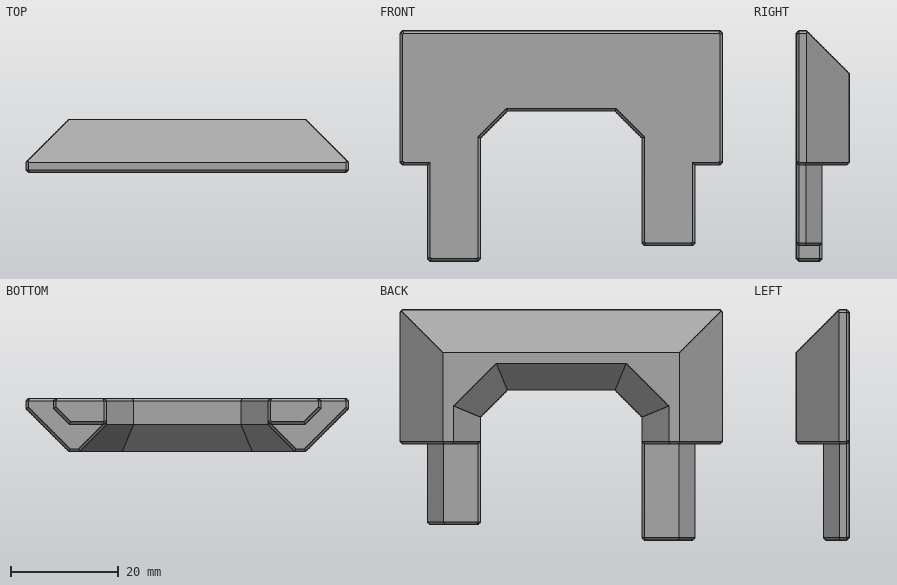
import cadquery as cq

width = 60.0
body_depth = 9.9
body_height = 25.0
leg_depth = 4.85
leg_width = 9.9
leg_inset = 5.1
left_leg_bottom = -42.9
right_leg_bottom = -40.0
notch_top = -15.0
notch_corner = 5.0
body_bevel = 8.0
leg_bevel = 3.0
notch_bevel = 5.0
edge_chamfer = 0.5
SELECTION_MARGIN = 0.01

half_width = width / 2
leg_outer_x = half_width - leg_inset
notch_half_width = leg_outer_x - leg_width
body_bottom = -body_height
notch_shoulder = notch_top - notch_corner


def prism(points, depth):
    """Extrude an XZ outline from the front face toward +Y."""
    return cq.Workplane("XZ").polyline(points).close().extrude(-depth)


def edges_within(solid, x_range, y_range, z_range):
    """Select the edges whose centres lie inside a box."""
    low, high = zip(x_range, y_range, z_range)
    return solid.edges(
        cq.selectors.BoxSelector(
            tuple(value - SELECTION_MARGIN for value in low),
            tuple(value + SELECTION_MARGIN for value in high),
        )
    )


def make_body():
    """Bevelled plate with an open notch in its lower edge."""
    plate = prism(
        [
            (-half_width, body_bottom),
            (-half_width, 0),
            (half_width, 0),
            (half_width, body_bottom),
        ],
        body_depth,
    )
    plate = plate.faces(">Y").edges("not <Z").chamfer(body_bevel)
    notch = prism(
        [
            (-notch_half_width, body_bottom),
            (-notch_half_width, notch_shoulder),
            (-notch_half_width + notch_corner, notch_top),
            (notch_half_width - notch_corner, notch_top),
            (notch_half_width, notch_shoulder),
            (notch_half_width, body_bottom),
        ],
        body_depth,
    )
    plate = plate.cut(notch)
    notch_back_edges = edges_within(
        plate,
        (-notch_half_width, notch_half_width),
        (body_depth, body_depth),
        (body_bottom, notch_top),
    )
    plate = notch_back_edges.chamfer(notch_bevel)
    plate = plate.faces("<Z").edges("not <Y").chamfer(edge_chamfer)
    return plate.faces(">Z").edges("|Y").chamfer(edge_chamfer)


def make_leg(side, bottom):
    """Leg on the -X (side = -1) or +X (side = 1) end, its top buried in the body."""
    outer_x = side * leg_outer_x
    inner_x = side * notch_half_width
    leg = prism(
        [
            (outer_x, bottom),
            (outer_x, notch_shoulder),
            (inner_x, notch_shoulder),
            (inner_x, bottom),
        ],
        leg_depth,
    )
    outer, inner = (">X", "<X") if side > 0 else ("<X", ">X")
    leg = leg.faces(">Y").edges(outer).chamfer(leg_bevel)
    leg = leg.faces(">Y").edges(inner).chamfer(edge_chamfer)
    return leg.faces("<Z").edges("not <Y").chamfer(edge_chamfer)


part = make_body()
part = part.union(make_leg(-1, left_leg_bottom))
part = part.union(make_leg(1, right_leg_bottom))
part = part.clean()

result = part.faces("<Y").edges().chamfer(edge_chamfer)